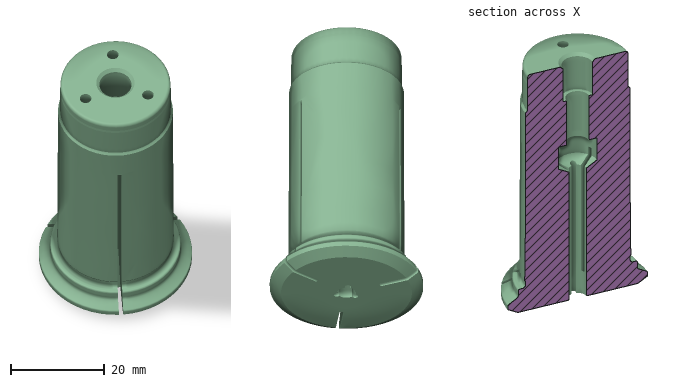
import cadquery as cq
import math


HEIGHT = 60.5
POINT_TOLERANCE = 0.005
COPIES = 3
COPY_ANGLES = [i * 360 / COPIES for i in range(COPIES)]

RIM_RADIUS = 33.0 / 2
RIM_BOTTOM = 1.4
RIM_TOP = 2.55
RIM_FILLET = 0.35
CONE_SLOPE = math.tan(math.radians(30))

COLLAR_RADIUS = 14.05
COLLAR_TOP = 6.0
COLLAR_EDGE_FILLET = 0.4
COLLAR_ROOT_FILLET = 0.6

NECK_RADIUS = 12.35
NECK_TOP = 7.5
NECK_CHAMFER_HEIGHT = 0.35
NECK_FILLET = 0.65

BODY_BOTTOM_RADIUS = 12.5
BODY_TOP_RADIUS = 12.35
BODY_TOP = 50.8

HEAD_RADIUS = 23.8 / 2
HEAD_CHAMFER_HEIGHT = 0.5
HEAD_STEP_BOTTOM = 58.1
HEAD_STEP_TOP = 58.7
TOP_FACE_RADIUS = 22.2 / 2
TOP_FILLET = 0.7
TIP_RADIUS = TOP_FACE_RADIUS + TOP_FILLET

MOUTH_RADIUS = 8.2 / 2
COUNTERBORE_RADIUS = 6.9 / 2
COUNTERBORE_DEPTH = 9.1
BORE_RADIUS = 5.2 / 2
DRILL_POINT_SLOPE = math.tan(math.radians(30))
CAVITY_RADIUS = 9.0 / 2
CAVITY_TOP = 39.9
CAVITY_BOTTOM = 34.35
TOOL_BORE_RADIUS = 4.0 / 2
TOOL_BORE_TOP = CAVITY_BOTTOM - (CAVITY_RADIUS - TOOL_BORE_RADIUS) * DRILL_POINT_SLOPE

GROOVE_RADIUS = 0.65
GROOVE_OFFSET = 2.3

FACE_HOLE_RADIUS = 2.5 / 2
FACE_HOLE_OFFSET = 7.75
FACE_HOLE_DEPTH = 9.7
FACE_HOLE_FLOOR_SLOPE = math.tan(math.radians(40))

SLOT_WIDTH = 0.95
SLOT_TOP_OUTSIDE = 44.15
SLOT_END_SLOPE = math.tan(math.radians(45))
SLOT_FLOOR_TOP = 5.8
SLOT_FLOOR_SLOPE = math.tan(math.radians(45))


def is_at(vertex, radius, height):
    return math.hypot(vertex.X - radius, vertex.Z - height) < POINT_TOLERANCE


def make_body():
    bottom_radius = RIM_RADIUS - RIM_BOTTOM / CONE_SLOPE
    collar_bottom = RIM_TOP + (RIM_RADIUS - COLLAR_RADIUS) * CONE_SLOPE
    fillets = {
        (RIM_RADIUS, RIM_TOP): RIM_FILLET,
        (COLLAR_RADIUS, collar_bottom): COLLAR_ROOT_FILLET,
        (COLLAR_RADIUS, COLLAR_TOP): COLLAR_EDGE_FILLET,
        (NECK_RADIUS, COLLAR_TOP): NECK_FILLET,
        (TIP_RADIUS, HEIGHT): TOP_FILLET,
    }
    outline = [
        (0, 0),
        (bottom_radius, 0),
        (RIM_RADIUS, RIM_BOTTOM),
        (RIM_RADIUS, RIM_TOP),
        (COLLAR_RADIUS, collar_bottom),
        (COLLAR_RADIUS, COLLAR_TOP),
        (NECK_RADIUS, COLLAR_TOP),
        (NECK_RADIUS, NECK_TOP),
        (BODY_BOTTOM_RADIUS, NECK_TOP + NECK_CHAMFER_HEIGHT),
        (BODY_TOP_RADIUS, BODY_TOP),
        (HEAD_RADIUS, BODY_TOP + HEAD_CHAMFER_HEIGHT),
        (HEAD_RADIUS, HEAD_STEP_BOTTOM),
        (TIP_RADIUS, HEAD_STEP_TOP),
        (TIP_RADIUS, HEIGHT),
        (0, HEIGHT),
    ]
    face = cq.Face.makeFromWires(cq.Workplane("XZ").polyline(outline).close().val())
    for (radius, height), size in fillets.items():
        corner = [v for v in face.Vertices() if is_at(v, radius, height)]
        face = face.fillet2D(size, corner)
    return cq.Workplane("XZ").newObject([face.outerWire()]).toPending().revolve(360, (0, 0, 0), (0, 1, 0))


def make_bore():
    outline = [
        (0, 0),
        (TOOL_BORE_RADIUS, 0),
        (TOOL_BORE_RADIUS, TOOL_BORE_TOP),
        (CAVITY_RADIUS, CAVITY_BOTTOM),
        (CAVITY_RADIUS, CAVITY_TOP),
        (BORE_RADIUS, CAVITY_TOP),
        (BORE_RADIUS, HEIGHT - COUNTERBORE_DEPTH),
        (COUNTERBORE_RADIUS, HEIGHT - COUNTERBORE_DEPTH),
        (COUNTERBORE_RADIUS, HEIGHT - (MOUTH_RADIUS - COUNTERBORE_RADIUS)),
        (MOUTH_RADIUS, HEIGHT),
        (0, HEIGHT),
    ]
    return cq.Workplane("XZ").polyline(outline).close().revolve(360, (0, 0, 0), (0, 1, 0))


def make_groove():
    return cq.Workplane("XY").center(GROOVE_OFFSET, 0).circle(GROOVE_RADIUS).extrude(CAVITY_BOTTOM)


def make_face_hole():
    """Hole on the +X side, deeper on its side toward the axis."""
    inner = FACE_HOLE_OFFSET - FACE_HOLE_RADIUS
    outer = FACE_HOLE_OFFSET + FACE_HOLE_RADIUS
    floor_rise = FACE_HOLE_RADIUS * FACE_HOLE_FLOOR_SLOPE
    floor_height = HEIGHT - FACE_HOLE_DEPTH
    profile = [
        (inner, floor_height - floor_rise),
        (outer, floor_height + floor_rise),
        (outer, HEIGHT),
        (inner, HEIGHT),
    ]
    block = cq.Workplane("XZ").polyline(profile).close().extrude(FACE_HOLE_RADIUS, both=True)
    shaft = cq.Workplane("XY").center(FACE_HOLE_OFFSET, 0).circle(FACE_HOLE_RADIUS).extrude(HEIGHT)
    return shaft.intersect(block)


def make_slot():
    """Slot on the -X side, running from the bore to the outside and through the bottom face."""
    outside = RIM_RADIUS + 0.6
    outline = [
        (0, SLOT_TOP_OUTSIDE - BODY_TOP_RADIUS * SLOT_END_SLOPE),
        (-outside, SLOT_TOP_OUTSIDE + (outside - BODY_TOP_RADIUS) * SLOT_END_SLOPE),
        (-outside, 0),
        (-TOOL_BORE_RADIUS - SLOT_FLOOR_TOP / SLOT_FLOOR_SLOPE, 0),
        (0, SLOT_FLOOR_TOP + TOOL_BORE_RADIUS * SLOT_FLOOR_SLOPE),
    ]
    return cq.Workplane("XZ").polyline(outline).close().extrude(SLOT_WIDTH / 2, both=True)


def cut_around_axis(part, cutter):
    for angle in COPY_ANGLES:
        part = part.cut(cutter.rotate((0, 0, 0), (0, 0, 1), angle))
    return part


result = make_body().cut(make_bore())
for cutter in (make_groove(), make_face_hole(), make_slot()):
    result = cut_around_axis(result, cutter)